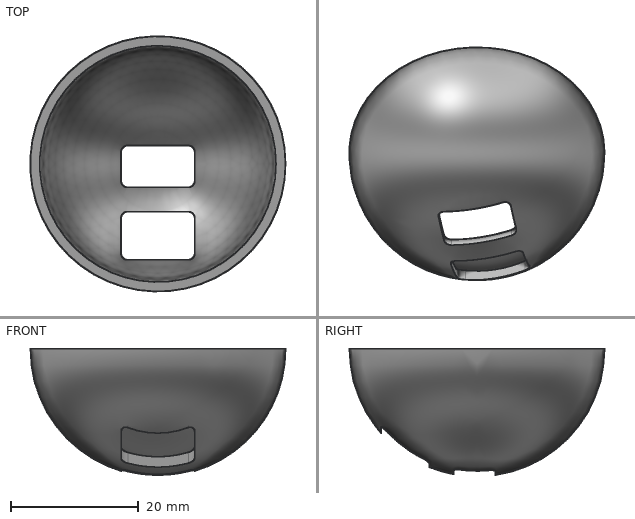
import cadquery as cq

outer_radius = 20.0
wall_thickness = 1.5
inner_radius = outer_radius - wall_thickness

window_width = 11.5
window_corner_radius = 1.0
central_window_length = 6.5
central_window_back = 2.85
front_window_length = 7.5
front_window_back = -7.5


def lower_hemisphere(radius):
    """Solid half ball below Z = 0."""
    profile = (
        cq.Workplane("XZ")
        .lineTo(radius, 0)
        .radiusArc((0, -radius), radius)
        .close()
    )
    return profile.revolve(360, (0, 0, 0), (0, 1, 0))


def window_cutter(back_edge, length):
    """Vertical rounded prism from the rim plane down past the bowl, its +Y face at back_edge."""
    return (
        cq.Workplane("XY")
        .center(0, back_edge - length / 2)
        .rect(window_width, length)
        .extrude(-outer_radius)
        .edges("|Z")
        .fillet(window_corner_radius)
    )


bowl = lower_hemisphere(outer_radius).cut(lower_hemisphere(inner_radius))

result = (
    bowl
    .cut(window_cutter(central_window_back, central_window_length))
    .cut(window_cutter(front_window_back, front_window_length))
)